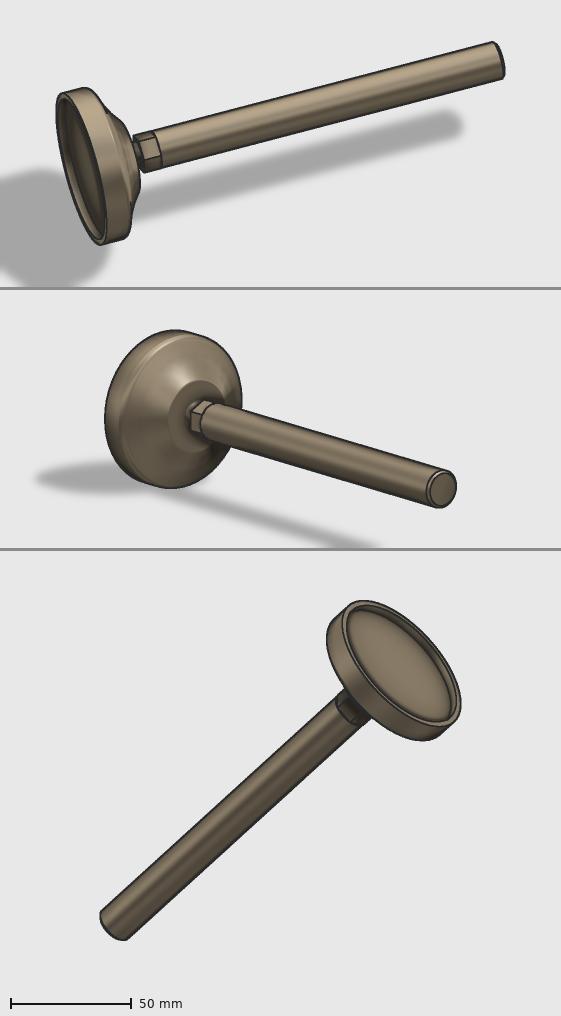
import cadquery as cq
import math

total_length = 183.0

foot_diameter = 65.0
recess_diameter = 60.0
recess_depth = 3.5
rim_height = 9.3
shoulder_height = 11.5
shoulder_inset = 2.2
shoulder_bulge = 0.45
foot_height = 20.5
flare_top_diameter = 31.8
flare_sag = 0.7
top_edge_drop = 0.4
top_edge_inset = 1.0
top_edge_bulge = 0.11

neck_diameter = 11.0
neck_fillet = 1.5

hex_across_flats = 14.0
hex_start = 25.0

stud_diameter = 16.0
stud_start = 32.5
tip_chamfer = 1.1


def bowed_midpoint(start, end, bow):
    """Midpoint of a chord rising toward the axis, pushed outward by bow."""
    dx = end[0] - start[0]
    dy = end[1] - start[1]
    length = math.hypot(dx, dy)
    mid_x = (start[0] + end[0]) / 2 + bow * abs(dy) / length
    mid_y = (start[1] + end[1]) / 2 + bow * abs(dx) / length
    return mid_x, mid_y


def cylinder_along_y(diameter, start, end):
    """Cylinder on the Y axis between two positions."""
    plane = cq.Workplane("XZ", origin=(0, start, 0))
    return plane.circle(diameter / 2).extrude(start - end)


def make_foot_and_neck():
    """Revolved foot: recessed base, rounded shoulder, concave flare and neck."""
    foot_radius = foot_diameter / 2
    recess_radius = recess_diameter / 2
    neck_radius = neck_diameter / 2
    rim_top = (foot_radius, rim_height)
    shoulder_top = (foot_radius - shoulder_inset, shoulder_height)
    flare_top = (flare_top_diameter / 2, foot_height - top_edge_drop)
    top_edge = (flare_top[0] - top_edge_inset, foot_height)
    fillet_offset = neck_fillet * (1 - math.sqrt(0.5))
    fillet_mid = (neck_radius + fillet_offset, foot_height + fillet_offset)
    fillet_top = (neck_radius, foot_height + neck_fillet)
    profile = (
        cq.Workplane("XY")
        .moveTo(0, recess_depth)
        .lineTo(recess_radius, recess_depth)
        .lineTo(recess_radius, 0)
        .lineTo(foot_radius, 0)
        .lineTo(*rim_top)
        .threePointArc(bowed_midpoint(rim_top, shoulder_top, shoulder_bulge), shoulder_top)
        .threePointArc(bowed_midpoint(shoulder_top, flare_top, -flare_sag), flare_top)
        .threePointArc(bowed_midpoint(flare_top, top_edge, top_edge_bulge), top_edge)
        .lineTo(neck_radius + neck_fillet, foot_height)
        .threePointArc(fillet_mid, fillet_top)
        .lineTo(neck_radius, hex_start)
        .lineTo(0, hex_start)
        .close()
    )
    return profile.revolve(360, (0, 0), (0, 1))


def make_hex():
    """Wrench section between the neck and the stud."""
    across_corners = hex_across_flats / math.cos(math.pi / 6)
    return (
        cq.Workplane("XZ", origin=(0, hex_start, 0))
        .transformed(rotate=(0, 0, 90))
        .polygon(6, across_corners)
        .extrude(hex_start - stud_start)
    )


def make_stud():
    """Plain stud with a chamfered tip."""
    stud = cylinder_along_y(stud_diameter, stud_start, total_length)
    return stud.faces(">Y").chamfer(tip_chamfer)


result = make_foot_and_neck().union(make_hex()).union(make_stud())